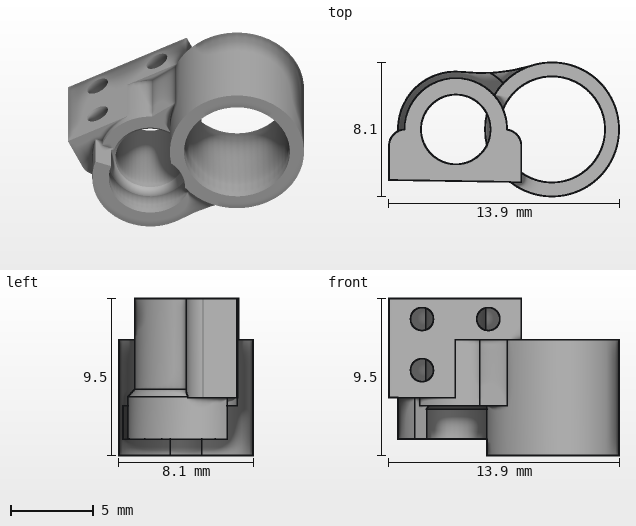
import cadquery as cq
import math

TOTAL_HEIGHT = 9.5
RING_HEIGHT = 7.0
COLLAR_BOTTOM = 1.0
COUNTERBORE_TOP = 2.81
BOSS_BOTTOM = 3.0
BLOCK_BOTTOM = 3.5
COLLAR_CONE_TOP = 4.0
LEDGE_TOP = 7.5

BLOCK_HALF_WIDTH = 4.0
BLOCK_CENTER_X = -0.04
RING_RADIUS = 4.052
RING_BORE_RADIUS = 3.2
AXIS_SPACING = 13.9 + BLOCK_CENTER_X - BLOCK_HALF_WIDTH - RING_RADIUS
BOSS_RADIUS = 3.1
BORE_RADIUS = 2.1
COLLAR_RADIUS = 3.5
COLLAR_CONE_RADIUS = 4.0
COUNTERBORE_RADIUS = 2.5

FRONT_WEB_BOSS_X = 1.43
FRONT_WEB_RING_X = 3.1
REAR_WEB_RADIUS = 10.01

BLOCK_CORNER_RADIUS = 1.0
BLOCK_FACE_LEFT_Y = -3.06
BLOCK_FACE_RIGHT_Y = -3.18
HOLE_RADIUS = 0.7
HOLE_OFFSET_X = BLOCK_HALF_WIDTH / 2
HOLE_BOTTOM_Y = -1.05
UPPER_HOLE_Z = 8.24
LOWER_HOLE_Z = 5.15
HOLE_POSITIONS = [
    (-HOLE_OFFSET_X, UPPER_HOLE_Z),
    (HOLE_OFFSET_X, UPPER_HOLE_Z),
    (-HOLE_OFFSET_X, LOWER_HOLE_Z),
]


def cylinder(radius, bottom, top, x=0):
    """Vertical cylinder centred at (x, 0)."""
    return cq.Workplane("XY", origin=(x, 0, bottom)).circle(radius).extrude(top - bottom)


def cone(bottom_radius, top_radius, bottom, top):
    """Vertical frustum on the boss axis."""
    profile = [(0, bottom), (bottom_radius, bottom), (top_radius, top), (0, top)]
    return cq.Workplane("XZ").polyline(profile).close().revolve(360, (0, 0, 0), (0, 1, 0))


def front_web():
    """Fill between boss and ring, closed by a flat face from one tube to the other."""
    boss_y = -math.sqrt(BOSS_RADIUS**2 - FRONT_WEB_BOSS_X**2)
    ring_y = -math.sqrt(RING_RADIUS**2 - (AXIS_SPACING - FRONT_WEB_RING_X) ** 2)
    outline = [(0, 0), (FRONT_WEB_BOSS_X, boss_y), (FRONT_WEB_RING_X, ring_y), (AXIS_SPACING, 0)]
    return (
        cq.Workplane("XY", origin=(0, 0, BOSS_BOTTOM))
        .polyline(outline)
        .close()
        .extrude(RING_HEIGHT - BOSS_BOTTOM)
    )


def rear_web():
    """Fill between collar and ring, closed by an arc tangent to both."""
    collar_reach = COLLAR_RADIUS + REAR_WEB_RADIUS
    ring_reach = RING_RADIUS + REAR_WEB_RADIUS
    center_x = (collar_reach**2 - ring_reach**2 + AXIS_SPACING**2) / (2 * AXIS_SPACING)
    center_y = math.sqrt(collar_reach**2 - center_x**2)
    collar_share = COLLAR_RADIUS / collar_reach
    ring_share = RING_RADIUS / ring_reach
    collar_point = (center_x * collar_share, center_y * collar_share)
    ring_point = (AXIS_SPACING + (center_x - AXIS_SPACING) * ring_share, center_y * ring_share)
    return (
        cq.Workplane("XY", origin=(0, 0, COLLAR_BOTTOM))
        .moveTo(0, 0)
        .lineTo(*collar_point)
        .threePointArc((center_x, center_y - REAR_WEB_RADIUS), ring_point)
        .lineTo(AXIS_SPACING, 0)
        .close()
        .extrude(COLLAR_CONE_TOP - COLLAR_BOTTOM)
    )


def make_collar():
    """Collar under the boss, with its rear web, bevelled top and open front sector."""
    bevel = cone(COLLAR_CONE_RADIUS, BOSS_RADIUS, BOSS_BOTTOM, COLLAR_CONE_TOP)
    outline = cylinder(COLLAR_RADIUS, COLLAR_BOTTOM, COLLAR_CONE_TOP).union(rear_web())
    collar = outline.intersect(bevel.union(cylinder(AXIS_SPACING, COLLAR_BOTTOM, BOSS_BOTTOM)))
    reach = 2 * COLLAR_RADIUS
    sector = [(0, 0), (-reach, -reach), (reach, -reach), (reach, 0)]
    opening = (
        cq.Workplane("XY", origin=(0, 0, COLLAR_BOTTOM))
        .polyline(sector)
        .close()
        .extrude(COLLAR_CONE_TOP - COLLAR_BOTTOM)
    )
    return collar.cut(opening)


def make_block():
    """L-shaped block with a slightly slanted front face and rounded rear corners."""
    half = BLOCK_HALF_WIDTH
    right = BLOCK_CENTER_X + half
    left = BLOCK_CENTER_X - half
    block = (
        cq.Workplane("XY", origin=(0, 0, BLOCK_BOTTOM))
        .polyline([(left, BLOCK_FACE_LEFT_Y), (right, BLOCK_FACE_RIGHT_Y), (right, 0), (left, 0)])
        .close()
        .extrude(TOTAL_HEIGHT - BLOCK_BOTTOM)
        .edges("|Z and >Y")
        .fillet(BLOCK_CORNER_RADIUS)
    )
    notch = cq.Workplane("XY", origin=(BLOCK_CENTER_X, 0, BLOCK_BOTTOM)).box(
        half, 2 * half, RING_HEIGHT - BLOCK_BOTTOM, centered=(False, True, False)
    )
    return block.cut(notch)


def make_holes():
    """Blind round holes drilled from the block face toward +Y."""
    depth = HOLE_BOTTOM_Y - BLOCK_FACE_RIGHT_Y
    return (
        cq.Workplane("XZ", origin=(BLOCK_CENTER_X, HOLE_BOTTOM_Y, 0))
        .pushPoints(HOLE_POSITIONS)
        .circle(HOLE_RADIUS)
        .extrude(depth)
    )


boss = cylinder(BOSS_RADIUS, BOSS_BOTTOM, TOTAL_HEIGHT).union(make_block())
boss = boss.union(front_web())

taper_top = COUNTERBORE_TOP + COUNTERBORE_RADIUS - BORE_RADIUS
taper = cone(COUNTERBORE_RADIUS, BORE_RADIUS, COUNTERBORE_TOP, taper_top)
counterbore = cylinder(COUNTERBORE_RADIUS, COLLAR_BOTTOM, COUNTERBORE_TOP).union(taper)
body = boss.union(make_collar()).cut(counterbore)

body = body.union(cylinder(RING_RADIUS, 0, RING_HEIGHT, AXIS_SPACING))
body = body.cut(cylinder(BORE_RADIUS, 0, TOTAL_HEIGHT))
body = body.cut(cylinder(RING_BORE_RADIUS, 0, RING_HEIGHT, AXIS_SPACING))
body = body.cut(make_holes())

ledge = cylinder(RING_RADIUS, BOSS_BOTTOM, LEDGE_TOP, AXIS_SPACING).intersect(
    cylinder(BORE_RADIUS, BOSS_BOTTOM, LEDGE_TOP)
)
result = body.union(ledge)